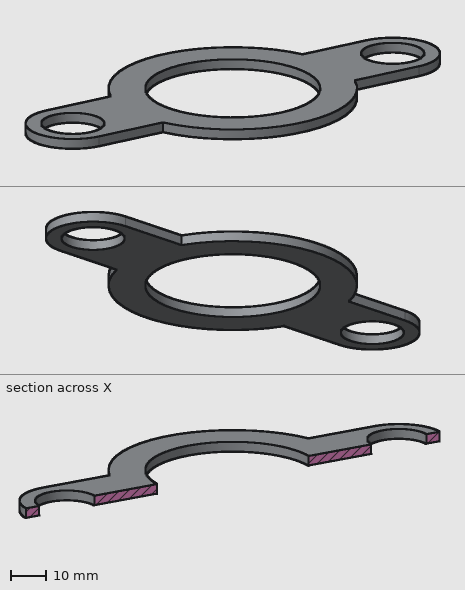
import cadquery as cq

overall_length = 136.5
ring_diameter = 71.0
bore_diameter = 50.0
tab_width = 27.0
tab_hole_diameter = 18.0
thickness = 3.0

hole_spacing = overall_length - tab_width


def disc(diameter):
    return cq.Workplane("XY").circle(diameter / 2).extrude(thickness)


def tab_strip():
    """Round-ended strip across the ring that forms both tabs."""
    return cq.Workplane("XY").slot2D(overall_length, tab_width, 90).extrude(thickness)


def tab_holes():
    centres = [(0, -hole_spacing / 2), (0, hole_spacing / 2)]
    return cq.Workplane("XY").pushPoints(centres).circle(tab_hole_diameter / 2).extrude(thickness)


ring_with_tabs = disc(ring_diameter).union(tab_strip())
result = ring_with_tabs.cut(disc(bore_diameter)).cut(tab_holes())